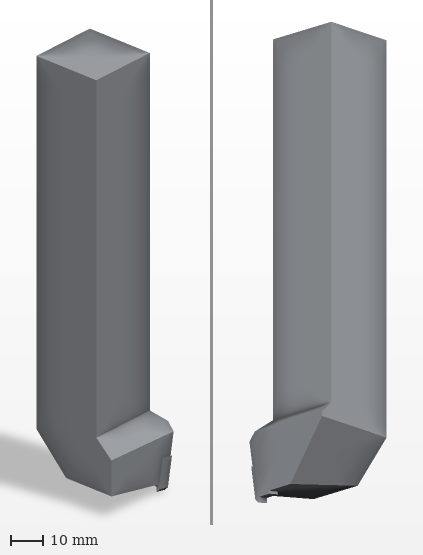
import cadquery as cq

total_height = 150.3
shank_side = 25.0

head_width = 31.9
head_depth = 30.8
shoulder_top = 25.5
side_shoulder_bottom = 19.2
rear_shoulder_slope = 0.95
heel_height = 20.1
toe_start = 16.8
head_bottom = 2.5
bottom_edge_depth = 25.7
front_bottom = 7.2

rake_foot = 25.5
rake_angle = 10.0
rake_twist = 1.0
side_relief_angle = 1.1

insert_thickness = 3.9
insert_right = 32.3
insert_left = 26.2
insert_top = 11.7
insert_base = 1.7
insert_base_rise = 1.0
tooth_left = 30.8
tooth_tip = 31.3
tooth_shoulder = 1.2

cutter_size = 90.2


def place_on_rake(body):
    """Turn a body whose rear face is Y = 0 so that this face lies on the rake plane."""
    leaned = body.rotate((0, 0, 0), (1, 0, 0), -rake_angle)
    twisted = leaned.rotate((0, 0, 0), (0, 0, 1), -rake_twist)
    return twisted.translate((0, rake_foot, 0))


def make_insert():
    """Triangular cutting insert with a small pointed tooth at its lower corner."""
    outline = [
        (tooth_tip, 0),
        (insert_right, tooth_shoulder),
        (insert_right, insert_top),
        (insert_left, insert_base + insert_base_rise),
        (insert_left, insert_base),
        (tooth_left, insert_base),
    ]
    blank = cq.Workplane("XZ").polyline(outline).close().extrude(insert_thickness)
    return place_on_rake(blank)


def make_front_prism():
    """Shank and head outline in XZ, extended through the whole depth."""
    outline = [
        (0, total_height),
        (shank_side, total_height),
        (shank_side, shoulder_top),
        (head_width, side_shoulder_bottom),
        (head_width, 0),
        (toe_start + head_bottom * toe_start / (heel_height - head_bottom), 0),
        (0, heel_height),
    ]
    return cq.Workplane("XZ").polyline(outline).close().extrude(-head_depth)


def make_side_prism():
    """Shank and head outline in YZ, extended through the whole width."""
    shoulder_drop = (head_depth - shank_side) * rear_shoulder_slope
    underside_slope = (front_bottom - head_bottom) / bottom_edge_depth
    outline = [
        (0, total_height),
        (shank_side, total_height),
        (shank_side, shoulder_top),
        (head_depth, shoulder_top - shoulder_drop),
        (head_depth, front_bottom - underside_slope * head_depth),
        (0, front_bottom),
    ]
    return cq.Workplane("YZ").polyline(outline).close().extrude(head_width)


def make_rake_cutter():
    """Block that removes everything behind the rake face, up to the rear shoulder."""
    block = cq.Workplane("XY").box(
        2 * cutter_size, cutter_size, 2 * shoulder_top, centered=(True, False, True)
    )
    return place_on_rake(block)


def make_side_relief_cutter():
    """Block that turns the +X face inwards towards -Y."""
    block = cq.Workplane("XY").box(
        cutter_size, 2 * cutter_size, cutter_size, centered=(False, True, True)
    )
    turned = block.rotate((0, 0, 0), (0, 0, 1), -side_relief_angle)
    return turned.translate((head_width, head_depth, 0))


def make_holder(insert):
    """Tool holder with a pocket that fits the insert."""
    holder = make_front_prism().intersect(make_side_prism())
    holder = holder.cut(make_rake_cutter())
    holder = holder.cut(make_side_relief_cutter())
    return holder.cut(insert)


insert = make_insert()
holder = make_holder(insert)

result = cq.Compound.makeCompound([holder.val(), insert.val()])